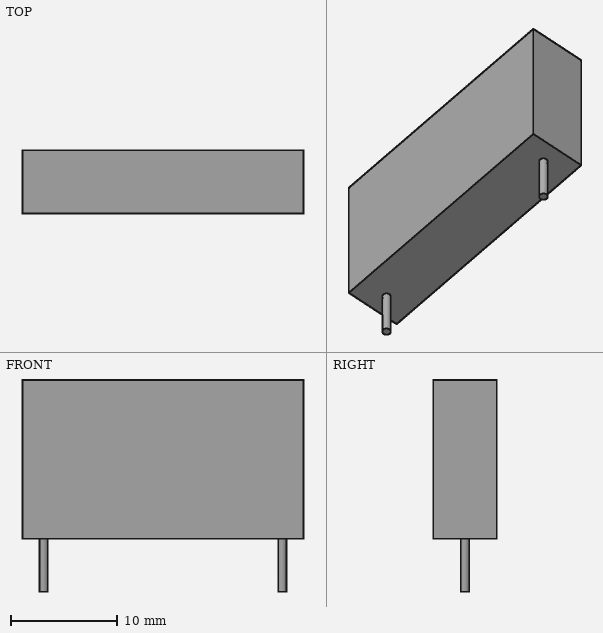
import cadquery as cq

case_length = 26.49
case_width = 5.99
case_height = 14.99

lead_diameter = 0.81
lead_length = 5.0
lead_pitch = 22.5


def make_case():
    """Plain box centred on the Z axis with its underside at Z = 0."""
    return cq.Workplane("XY").box(case_length, case_width, case_height, centered=(True, True, False))


def make_lead(x_position):
    """Straight round lead hanging from the underside of the case."""
    return cq.Workplane("XY").center(x_position, 0).circle(lead_diameter / 2).extrude(-lead_length)


case = make_case()
leads = [make_lead(side * lead_pitch / 2) for side in (-1, 1)]

result = cq.Compound.makeCompound([case.val(), *[lead.val() for lead in leads]])